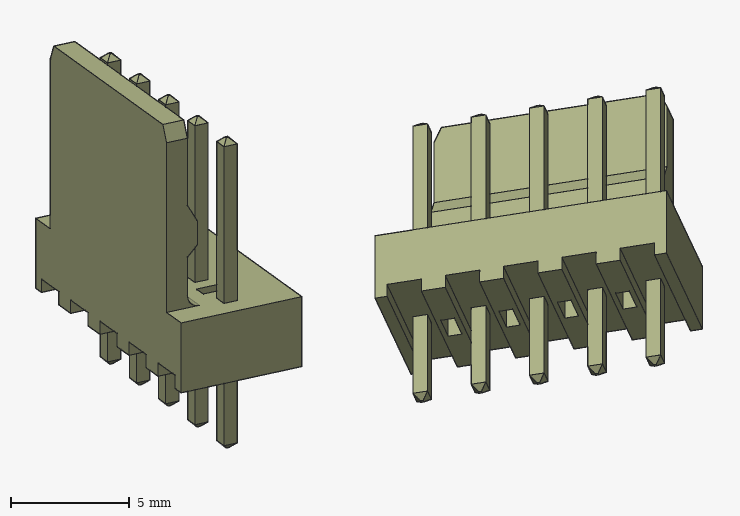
import cadquery as cq
import math

pin_count = 5
base_length = 12.7
base_depth = 5.8
total_height = 15.26
pitch = base_length / pin_count
pin_y = base_depth / 2

base_bottom = 3.57
base_height = 3.2
base_top = base_bottom + base_height
channel_width = 1.5
channel_depth = 0.61
slot_width = 0.6
slot_length = 1.2

pin_size = 0.64
pin_top = 14.2
tip_height = 0.26
tip_flat = 0.12

wall_length = pitch * (pin_count - 1)
wall_thickness = 1.0
corner_width = 0.32
corner_height = 0.72
bump_depth = 0.49
bump_clearance = 2.32
bump_face_height = 1.05
bump_lead_in_height = 0.82
bump_start = base_top + bump_clearance
bump_face_start = bump_start + bump_depth
bump_face_end = bump_face_start + bump_face_height
bump_end = bump_face_end + bump_lead_in_height
foot_radius = 0.56


def centred_row(count):
    """X positions of `count` features, one pitch apart, centred on X = 0."""
    return [(i - (count - 1) / 2) * pitch for i in range(count)]


def box(length, depth, height, x, y, z):
    """Box centred on x and y, standing on z."""
    return cq.Workplane("XY").box(length, depth, height, centered=(True, True, False)).translate((x, y, z))


def make_base():
    base = box(base_length, base_depth, base_height, 0, pin_y, base_bottom)
    for x in centred_row(pin_count):
        base = base.cut(box(channel_width, base_depth, channel_depth, x, pin_y, base_bottom))
    for x in centred_row(pin_count - 1):
        base = base.cut(box(slot_width, slot_length, base_height, x, pin_y, base_bottom))
    return base


def make_wall():
    bump_y = wall_thickness + bump_depth
    foot_reach = foot_radius * (1 - math.sqrt(0.5))
    foot_mid = (wall_thickness + foot_reach, base_top + foot_reach)
    wall = (
        cq.Workplane("YZ")
        .moveTo(0, base_top)
        .lineTo(wall_thickness + foot_radius, base_top)
        .threePointArc(foot_mid, (wall_thickness, base_top + foot_radius))
        .lineTo(wall_thickness, bump_start)
        .lineTo(bump_y, bump_face_start)
        .lineTo(bump_y, bump_face_end)
        .lineTo(wall_thickness, bump_end)
        .lineTo(wall_thickness, total_height)
        .lineTo(0, total_height)
        .close()
        .extrude(wall_length / 2, both=True)
    )
    for side in (-1, 1):
        edge = side * wall_length / 2
        corner = (
            cq.Workplane("XZ")
            .polyline([
                (edge, total_height - corner_height),
                (edge, total_height),
                (edge - side * corner_width, total_height),
            ])
            .close()
            .extrude(-wall_thickness)
        )
        wall = wall.cut(corner)
    return wall


def make_pin(x):
    shaft_height = pin_top - 2 * tip_height
    pin = box(pin_size, pin_size, shaft_height, x, pin_y, tip_height)
    for face in (">Z", "<Z"):
        tip = (
            pin.faces(face).workplane(centerOption="CenterOfMass")
            .rect(pin_size, pin_size)
            .workplane(offset=tip_height)
            .rect(tip_flat, tip_flat)
            .loft(combine=False)
        )
        pin = pin.union(tip)
    return pin


result = make_base().union(make_wall())
for pin_x in centred_row(pin_count):
    result = result.union(make_pin(pin_x))